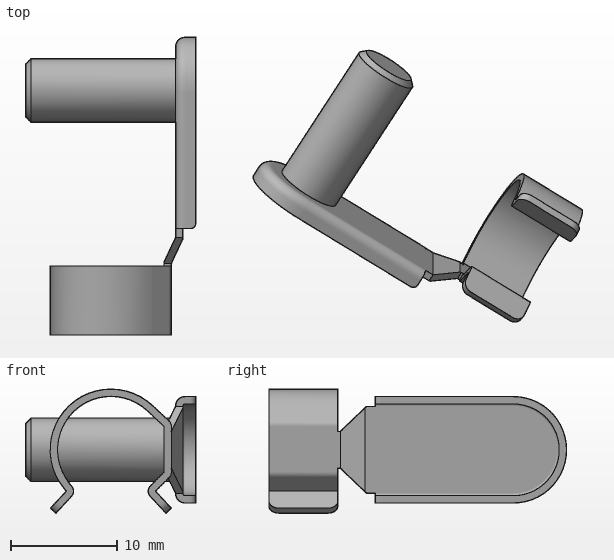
import cadquery as cq
import math

sheet = 0.7

pin_diameter = 6.0
pin_length = 14.08
pin_chamfer = 0.5

plate_half_height = 5.0
flange_depth = 1.9
flange_end_y = -13.0
flange_bend_radius = 0.9
flange_corner_radius = 0.5
tongue_half_height = 4.1

crank_start_y = -13.8
crank_end_y = -16.13
crank_lag = 0.15
neck_half_height = 1.75

clip_far_y = -23.0
clip_width = 6.5
clip_near_y = clip_far_y + clip_width
clip_center_x = -6.08
clip_outer_radius = 5.7
wall_outer_x = -0.4
bend_x = 4.2
bend_z = -3.9
lip_length = 2.18
lip_angle = 47
lip_corner_radius = 0.95
brace_angle = 45
shoulder_angle = 47


def offset(point, angle, distance):
    """Move a point by a distance in the direction of an angle in degrees."""
    a = math.radians(angle)
    return (point[0] + distance * math.cos(a), point[1] + distance * math.sin(a))


def make_pin():
    pin = cq.Workplane("YZ").circle(pin_diameter / 2).extrude(-pin_length)
    return pin.faces("<X").chamfer(pin_chamfer)


def flange_blank(inset, front_x):
    """Solid tongue with one rounded end, its outline moved inwards by inset."""
    half = plate_half_height - inset
    return (
        cq.Workplane("YZ", origin=(front_x, 0, 0))
        .moveTo(flange_end_y, -half)
        .lineTo(0, -half)
        .threePointArc((half, 0), (0, half))
        .lineTo(flange_end_y, half)
        .close()
        .extrude(flange_depth - front_x)
    )


def round_front_rim(blank, radius):
    """Round the front rim, leaving the straight cut end sharp."""
    return blank.faces("<X").edges("not(<Y)").fillet(radius)


def make_plate():
    outside = round_front_rim(flange_blank(0, 0), flange_bend_radius)
    inside = round_front_rim(flange_blank(sheet, sheet), flange_bend_radius - sheet)
    plate = outside.cut(inside)
    return plate.faces("<Y").edges(">X").fillet(flange_corner_radius)


def make_neck():
    """Cranked sheet strip, trimmed to a tongue that tapers towards the clip."""
    clip_face_x = wall_outer_x - sheet
    strip = (
        cq.Workplane("XY", origin=(0, 0, -tongue_half_height))
        .polyline([
            (0, flange_end_y),
            (0, crank_start_y),
            (clip_face_x, crank_end_y),
            (clip_face_x, clip_near_y),
            (wall_outer_x, clip_near_y),
            (wall_outer_x, crank_end_y - crank_lag),
            (sheet, crank_start_y - crank_lag),
            (sheet, flange_end_y),
        ])
        .close()
        .extrude(2 * tongue_half_height)
    )
    trim = (
        cq.Workplane("YZ", origin=(clip_face_x, 0, 0))
        .polyline([
            (flange_end_y, tongue_half_height),
            (crank_start_y, tongue_half_height),
            (crank_end_y - crank_lag, neck_half_height),
            (clip_near_y, neck_half_height),
            (clip_near_y, -neck_half_height),
            (crank_end_y - crank_lag, -neck_half_height),
            (crank_start_y, -tongue_half_height),
            (flange_end_y, -tongue_half_height),
        ])
        .close()
        .extrude(sheet - clip_face_x)
    )
    return strip.intersect(trim)


def make_clip():
    """Bent strip; each bend is sharp inside and has a sheet-thick outside radius."""
    center = (0, 0)
    inner_radius = clip_outer_radius - sheet
    left_bend = (-bend_x, bend_z)
    right_bend = (bend_x, bend_z)
    wall_x = wall_outer_x - sheet - clip_center_x

    bend_distance = math.hypot(bend_x, bend_z)
    bend_direction = 180 + math.degrees(math.atan2(-bend_z, bend_x))
    arc_end = bend_direction - math.degrees(math.acos(clip_outer_radius / bend_distance))
    arc_middle = (shoulder_angle + arc_end) / 2

    shoulder = math.radians(shoulder_angle)
    upper_z = (inner_radius - wall_x * math.cos(shoulder)) / math.sin(shoulder)
    upper_corner = (wall_x, upper_z)
    brace_start = offset(right_bend, 90 + brace_angle, sheet)
    lower_z = brace_start[1] + (wall_x - brace_start[0]) * math.tan(math.radians(brace_angle))
    lower_corner = (wall_x, lower_z)

    left_lip_normal = lip_angle - 90
    left_arm_normal = arc_end - 180
    right_lip_normal = 270 - lip_angle
    brace_normal = 90 + brace_angle
    left_tip = offset(left_bend, 180 + lip_angle, lip_length)
    right_tip = offset(right_bend, -lip_angle, lip_length)

    outline = cq.Workplane("XZ", origin=(clip_center_x, clip_near_y, 0)).moveTo(*left_tip)

    def bend(path, corner, start, end):
        path = path.lineTo(*offset(corner, start, sheet))
        return path.threePointArc(offset(corner, (start + end) / 2, sheet), offset(corner, end, sheet))

    outline = outline.lineTo(*left_bend).lineTo(*offset(center, arc_end, clip_outer_radius))
    outline = outline.threePointArc(
        offset(center, arc_middle, clip_outer_radius),
        offset(center, shoulder_angle, clip_outer_radius),
    )
    outline = bend(outline, upper_corner, shoulder_angle, 0)
    outline = bend(outline, lower_corner, 0, brace_angle - 90)
    outline = outline.lineTo(*right_bend).lineTo(*right_tip)

    outline = outline.lineTo(*offset(right_tip, right_lip_normal, sheet))
    outline = bend(outline, right_bend, right_lip_normal, brace_normal)
    outline = outline.lineTo(*lower_corner).lineTo(*upper_corner)
    outline = outline.lineTo(*offset(center, shoulder_angle, inner_radius))
    outline = outline.threePointArc(
        offset(center, arc_middle, inner_radius),
        offset(center, arc_end, inner_radius),
    )
    outline = bend(outline, left_bend, left_arm_normal, left_lip_normal)
    outline = outline.lineTo(*offset(left_tip, left_lip_normal, sheet))
    clip = outline.close().extrude(clip_width)

    return (
        clip.edges("not(|Y)")
        .filter(lambda edge: edge.Center().z < left_tip[1])
        .fillet(lip_corner_radius)
    )


result = make_plate().union(make_pin()).union(make_neck()).union(make_clip())